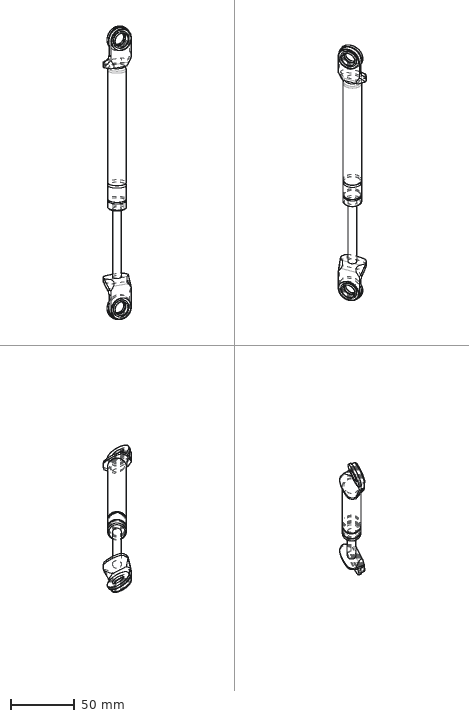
import cadquery as cq
import math

EYE_SPACING = 225.0

FOOT_WIDTH = 22.0
FOOT_TIP_X = -7.9
FOOT_EDGE_SAG = 1.0
FOOT_EDGE_HALF = 7.75
FOOT_FULL_WIDTH_X = -1.25
FOOT_BOTTOM_Z = -24.25
PLATE_THICKNESS = 3.5
UPRIGHT_BACK_X = 6.85
UPRIGHT_THICKNESS = 3.0
UPRIGHT_WIDTH = 18.5
BEND_OUTER_RADIUS = 4.5
FLARE_START_Z = -12.0
FLARE_KNEE_Z = -13.5
FLARE_KNEE_HALF = 10.0
FLARE_END_Z = -18.0
GUSSET_START_Y = 6.3
GUSSET_REACH_RATE = 1.2
GUSSET_RISE_RATE = 1.65
GUSSET_WALL = 4.0

UPRIGHT_FRONT_X = UPRIGHT_BACK_X - UPRIGHT_THICKNESS
FOOT_TOP_Z = FOOT_BOTTOM_Z + PLATE_THICKNESS
FOOT_HALF = FOOT_WIDTH / 2
UPRIGHT_HALF = UPRIGHT_WIDTH / 2

BUSH_BORE = 10.0
BUSH_COUNTERBORE = 11.5
BUSH_SLEEVE_DIAMETER = 14.0
BUSH_FLANGE_DIAMETER = 20.0
BUSH_FLANGE_THICKNESS = 2.25
BUSH_COLLAR_DIAMETER = 17.5
BUSH_COLLAR_THICKNESS = 0.75

CYLINDER_RADIUS = 7.5
CYLINDER_BOTTOM_Z = 81.75
CYLINDER_TOP_Z = EYE_SPACING + FOOT_BOTTOM_Z
TOP_CHAMFER_HEIGHT = 2.4
TOP_CHAMFER_DEPTH = 1.4
TOP_BLEND_RADIUS = 3.0
BOTTOM_CHAMFER = 1.0
GROOVE_DEPTH = 1.0
UPPER_GROOVE_Z = 102.25
UPPER_GROOVE_WIDTH = 2.0
LOWER_GROOVE_Z = 88.7
LOWER_GROOVE_WIDTH = 1.2

ROD_DIAMETER = 7.0


def disc(diameter, start_x, end_x):
    """Round disc on the eye axis between two X positions."""
    return cq.Workplane("YZ").circle(diameter / 2).extrude(end_x - start_x).translate((start_x, 0, 0))


def corner_wedge(corner_x, corner_z, start_y):
    """Tetrahedron in an XZ corner that grows along +Y from nothing at start_y."""
    end_y = FOOT_HALF + 1.0
    reach = GUSSET_REACH_RATE * (end_y - start_y)
    rise = GUSSET_RISE_RATE * (end_y - start_y)
    corner = cq.Vector(corner_x, end_y, corner_z)
    tip = cq.Vector(corner_x, start_y, corner_z)
    front = cq.Vector(corner_x - reach, end_y, corner_z)
    top = cq.Vector(corner_x, end_y, corner_z + rise)
    triangles = [(corner, tip, front), (corner, front, top), (corner, top, tip), (tip, top, front)]
    faces = [cq.Face.makeFromWires(cq.Wire.makePolygon(t, close=True)) for t in triangles]
    return cq.Workplane(cq.Solid.makeSolid(cq.Shell.makeShell(faces)))


def foot_outline():
    """Plan outline of the foot: curved tip edge, rounded corners and tapering sides."""
    corner_x = FOOT_TIP_X + FOOT_EDGE_SAG
    corner_width = FOOT_FULL_WIDTH_X - corner_x
    corner_height = FOOT_HALF - FOOT_EDGE_HALF
    radius = (corner_width**2 + corner_height**2) / (2 * corner_height)
    half_angle = math.asin(corner_width / radius) / 2
    middle_x = FOOT_FULL_WIDTH_X - radius * math.sin(half_angle)
    middle_y = FOOT_HALF - radius * (1 - math.cos(half_angle))
    return (
        cq.Workplane("XY")
        .moveTo(UPRIGHT_BACK_X, -UPRIGHT_HALF)
        .lineTo(UPRIGHT_FRONT_X, -FLARE_KNEE_HALF)
        .lineTo(FOOT_FULL_WIDTH_X, -FOOT_HALF)
        .threePointArc((middle_x, -middle_y), (corner_x, -FOOT_EDGE_HALF))
        .threePointArc((FOOT_TIP_X, 0), (corner_x, FOOT_EDGE_HALF))
        .threePointArc((middle_x, middle_y), (FOOT_FULL_WIDTH_X, FOOT_HALF))
        .lineTo(UPRIGHT_FRONT_X, FLARE_KNEE_HALF)
        .lineTo(UPRIGHT_BACK_X, UPRIGHT_HALF)
        .close()
        .extrude(UPRIGHT_HALF - FOOT_BOTTOM_Z)
        .translate((0, 0, FOOT_BOTTOM_Z))
    )


def upright_outline():
    """Outline across the strut: round eye end, straight sides, flare out to the foot."""
    return (
        cq.Workplane("YZ")
        .moveTo(-FOOT_HALF, FOOT_BOTTOM_Z)
        .lineTo(-FOOT_HALF, FLARE_END_Z)
        .lineTo(-FLARE_KNEE_HALF, FLARE_KNEE_Z)
        .lineTo(-UPRIGHT_HALF, FLARE_START_Z)
        .lineTo(-UPRIGHT_HALF, 0)
        .threePointArc((0, UPRIGHT_HALF), (UPRIGHT_HALF, 0))
        .lineTo(UPRIGHT_HALF, FLARE_START_Z)
        .lineTo(FLARE_KNEE_HALF, FLARE_KNEE_Z)
        .lineTo(FOOT_HALF, FLARE_END_Z)
        .lineTo(FOOT_HALF, FOOT_BOTTOM_Z)
        .close()
        .extrude(UPRIGHT_BACK_X - FOOT_TIP_X)
        .translate((FOOT_TIP_X, 0, 0))
    )


def make_bracket():
    """Bent plate with a foot, an upright with an eye hole and pressed-in corner gussets."""
    plate = (
        cq.Workplane("XZ")
        .moveTo(FOOT_TIP_X, FOOT_BOTTOM_Z)
        .lineTo(UPRIGHT_BACK_X, FOOT_BOTTOM_Z)
        .lineTo(UPRIGHT_BACK_X, UPRIGHT_HALF)
        .lineTo(UPRIGHT_FRONT_X, UPRIGHT_HALF)
        .lineTo(UPRIGHT_FRONT_X, FOOT_TOP_Z)
        .lineTo(FOOT_TIP_X, FOOT_TOP_Z)
        .close()
        .extrude(FOOT_HALF, both=True)
        .edges(cq.selectors.NearestToPointSelector((UPRIGHT_BACK_X, 0, FOOT_BOTTOM_Z)))
        .fillet(BEND_OUTER_RADIUS)
    )
    upright_shift = UPRIGHT_THICKNESS / GUSSET_REACH_RATE
    foot_shift = (PLATE_THICKNESS - GUSSET_WALL) / GUSSET_RISE_RATE
    dart_start_y = GUSSET_START_Y - upright_shift - foot_shift
    gusset = corner_wedge(UPRIGHT_FRONT_X, FOOT_TOP_Z, GUSSET_START_Y)
    dart = corner_wedge(UPRIGHT_BACK_X, FOOT_BOTTOM_Z, dart_start_y)
    plate = plate.union(gusset).union(gusset.mirror("XZ"))
    plate = plate.cut(dart).cut(dart.mirror("XZ"))
    eye_hole = disc(BUSH_SLEEVE_DIAMETER, UPRIGHT_FRONT_X, UPRIGHT_BACK_X)
    return plate.intersect(foot_outline()).intersect(upright_outline()).cut(eye_hole)


def make_bush():
    """Eye bush with a wide flange in front of the upright and a collar behind it."""
    front_x = UPRIGHT_FRONT_X - BUSH_FLANGE_THICKNESS
    back_x = UPRIGHT_BACK_X + BUSH_COLLAR_THICKNESS
    flange = disc(BUSH_FLANGE_DIAMETER, front_x, UPRIGHT_FRONT_X)
    sleeve = disc(BUSH_SLEEVE_DIAMETER, front_x, back_x)
    collar = disc(BUSH_COLLAR_DIAMETER, UPRIGHT_BACK_X, back_x)
    bore = disc(BUSH_BORE, front_x, back_x)
    counterbore = disc(BUSH_COUNTERBORE, UPRIGHT_FRONT_X, back_x)
    return flange.union(sleeve).union(collar).cut(bore).cut(counterbore)


def groove_ring(centre_z, width):
    """Ring with an elliptical section that cuts a groove around the cylinder."""
    return (
        cq.Workplane("XZ")
        .center(CYLINDER_RADIUS, centre_z)
        .ellipse(GROOVE_DEPTH, width / 2)
        .revolve(360, (-CYLINDER_RADIUS, 0), (-CYLINDER_RADIUS, 1))
    )


def make_cylinder():
    """Cylinder with a blended top chamfer, a chamfered lower end and two grooves."""
    body = (
        cq.Workplane("XY", origin=(0, 0, CYLINDER_BOTTOM_Z))
        .circle(CYLINDER_RADIUS)
        .extrude(CYLINDER_TOP_Z - CYLINDER_BOTTOM_Z)
        .faces("<Z").chamfer(BOTTOM_CHAMFER)
        .faces(">Z").chamfer(TOP_CHAMFER_HEIGHT, TOP_CHAMFER_DEPTH)
    )
    shoulder = cq.selectors.NearestToPointSelector((0, 0, CYLINDER_TOP_Z - TOP_CHAMFER_HEIGHT))
    body = body.edges("%CIRCLE").edges(shoulder).fillet(TOP_BLEND_RADIUS)
    upper_groove = groove_ring(UPPER_GROOVE_Z, UPPER_GROOVE_WIDTH)
    lower_groove = groove_ring(LOWER_GROOVE_Z, LOWER_GROOVE_WIDTH)
    return body.cut(upper_groove).cut(lower_groove)


def make_rod():
    """Plain rod from the lower bracket foot to the end of the cylinder."""
    bottom_z = -FOOT_BOTTOM_Z
    return (
        cq.Workplane("XY", origin=(0, 0, bottom_z))
        .circle(ROD_DIAMETER / 2)
        .extrude(CYLINDER_BOTTOM_Z - bottom_z)
    )


upper_place = (0, 0, EYE_SPACING)
bodies = [make_cylinder().val(), make_rod().val()]
for end_part in (make_bracket(), make_bush()):
    bodies.append(end_part.translate(upper_place).val())
    bodies.append(end_part.mirror("XY").val())

result = cq.Compound.makeCompound(bodies)